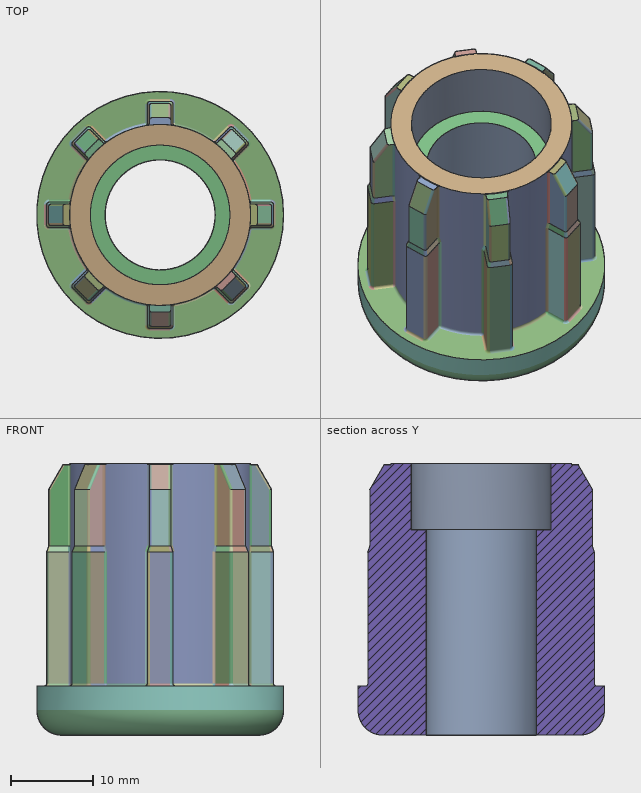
import cadquery as cq
import math

TOTAL_HEIGHT = 33.0
FLANGE_HEIGHT = 6.0
FLANGE_DIAMETER = 30.0
FLANGE_RADIUS = FLANGE_DIAMETER / 2
FLANGE_ROUND = 3.05
BODY_RADIUS = 11.0

HOLE_RADIUS = 6.65
BORE_RADIUS = 8.48
BORE_DEPTH = 8.02

ROOT_FILLET = 0.28

RIB_COUNT = 8
STEP_OFFSET = 0.25
UPPER_RIB_REACH = 13.53
UPPER_RIB_WIDTH = 2.6
UPPER_RIB_ROUND = 0.25
LOWER_RIB_REACH = UPPER_RIB_REACH + STEP_OFFSET
LOWER_RIB_WIDTH = UPPER_RIB_WIDTH + 2 * STEP_OFFSET
LOWER_RIB_ROUND = 0.33
RIB_INNER_REACH = (BODY_RADIUS + BORE_RADIUS) / 2

RIB_TOP = TOTAL_HEIGHT - 0.13
STEP_TOP = TOTAL_HEIGHT - 10.0
STEP_BOTTOM = STEP_TOP - 0.75

NOSE_HEIGHT = 3.0
NOSE_ANGLE = 30.0
NOSE_RUN = NOSE_HEIGHT * math.tan(math.radians(NOSE_ANGLE))

TOLERANCE = 0.003


def rib_section(z, reach, width, corner_round):
    """Horizontal rib outline at height z, rounded at its two outer corners."""
    half_width = width / 2
    half_flat = half_width - corner_round
    shoulder = reach - corner_round
    diagonal = corner_round * math.sqrt(0.5)
    return (
        cq.Workplane("XY")
        .workplane(offset=z)
        .moveTo(RIB_INNER_REACH, -half_width)
        .lineTo(shoulder, -half_width)
        .threePointArc((shoulder + diagonal, -half_flat - diagonal), (reach, -half_flat))
        .lineTo(reach, half_flat)
        .threePointArc((shoulder + diagonal, half_flat + diagonal), (shoulder, half_width))
        .lineTo(RIB_INNER_REACH, half_width)
        .close()
    )


def lower_rib():
    """Wide rib length standing on the flange."""
    section = rib_section(FLANGE_HEIGHT, LOWER_RIB_REACH, LOWER_RIB_WIDTH, LOWER_RIB_ROUND)
    return section.extrude(STEP_BOTTOM - FLANGE_HEIGHT)


def rib_step():
    """Short sloped transition from the wide to the slim rib length."""
    bottom = rib_section(STEP_BOTTOM, LOWER_RIB_REACH, LOWER_RIB_WIDTH, LOWER_RIB_ROUND).val()
    top = rib_section(STEP_TOP, UPPER_RIB_REACH, UPPER_RIB_WIDTH, UPPER_RIB_ROUND).val()
    return cq.Workplane(cq.Solid.makeLoft([bottom, top], True))


def upper_rib():
    """Slim rib length with the sloped nose, rounded along its outer edges."""
    nose_bottom = RIB_TOP - NOSE_HEIGHT
    nose_tip = UPPER_RIB_REACH - NOSE_RUN
    rib = (
        cq.Workplane("XZ")
        .moveTo(RIB_INNER_REACH, STEP_TOP)
        .lineTo(UPPER_RIB_REACH, STEP_TOP)
        .lineTo(UPPER_RIB_REACH, nose_bottom)
        .lineTo(nose_tip, RIB_TOP)
        .lineTo(RIB_INNER_REACH, RIB_TOP)
        .close()
        .extrude(UPPER_RIB_WIDTH / 2, both=True)
    )
    outer_edges = [
        edge for edge in rib.edges("not |Y").vals() if edge.Center().x > nose_tip
    ]
    return rib.newObject(outer_edges).fillet(UPPER_RIB_ROUND)


def is_root_edge(edge):
    """True for a rib side edge lying on the body wall."""
    box = edge.BoundingBox()
    on_wall = all(
        abs(math.hypot(v.X, v.Y) - BODY_RADIUS) < TOLERANCE for v in edge.Vertices()
    )
    return on_wall and box.zlen > TOLERANCE and box.zmax < RIB_TOP + TOLERANCE


def is_foot_edge(edge):
    """True for an edge where the body or a rib meets the flange top."""
    box = edge.BoundingBox()
    level = max(abs(box.zmin - FLANGE_HEIGHT), abs(box.zmax - FLANGE_HEIGHT)) < TOLERANCE
    inside_rim = all(
        math.hypot(v.X, v.Y) < FLANGE_RADIUS - TOLERANCE for v in edge.Vertices()
    )
    return level and inside_rim


def ribbed_column():
    """Body cylinder with its ring of ribs, filleted along the rib roots."""
    column = (
        cq.Workplane("XY")
        .workplane(offset=FLANGE_HEIGHT)
        .circle(BODY_RADIUS)
        .extrude(TOTAL_HEIGHT - FLANGE_HEIGHT)
    )
    rib = lower_rib().union(rib_step()).union(upper_rib())
    for index in range(RIB_COUNT):
        angle = index * 360 / RIB_COUNT
        column = column.union(rib.rotate((0, 0, 0), (0, 0, 1), angle))
    root_edges = [edge for edge in column.edges().vals() if is_root_edge(edge)]
    return column.newObject(root_edges).fillet(ROOT_FILLET)


def flange():
    """Disc with a rounded bottom edge."""
    disc = cq.Workplane("XY").circle(FLANGE_RADIUS).extrude(FLANGE_HEIGHT)
    return disc.faces("<Z").edges().fillet(FLANGE_ROUND)


def stepped_bore():
    """Through hole with the wider bore at the top."""
    hole = cq.Workplane("XY").circle(HOLE_RADIUS).extrude(TOTAL_HEIGHT)
    bore = (
        cq.Workplane("XY")
        .workplane(offset=TOTAL_HEIGHT - BORE_DEPTH)
        .circle(BORE_RADIUS)
        .extrude(BORE_DEPTH)
    )
    return hole.union(bore)


solid_plug = flange().union(ribbed_column())
foot_edges = [edge for edge in solid_plug.edges().vals() if is_foot_edge(edge)]
solid_plug = solid_plug.newObject(foot_edges).fillet(ROOT_FILLET)

result = solid_plug.cut(stepped_bore())